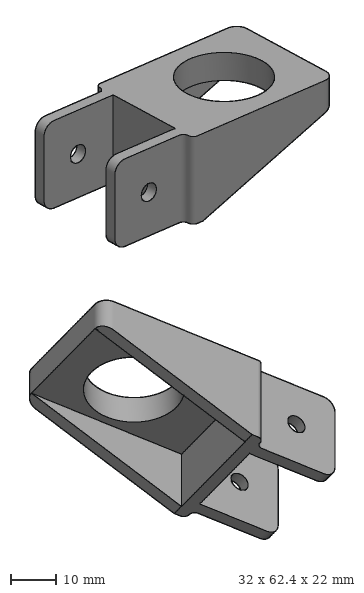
import cadquery as cq

width = 32.0
length = 62.4
height = 22.0

block_length = 42.0
plate_thickness = 7.05
taper_length = 39.0
rear_corner_radius = 3.0
bore_diameter = 22.2
bore_to_rear = 18.4

arm_inset = 2.9
arm_thickness = 2.95
arm_corner_radius = 3.0
pin_diameter = 4.4
pin_to_front = 10.05

wall_thickness = 2.95

blend_radius = arm_inset / 2

block_front = length - block_length
half_width = width / 2
arm_outer = half_width - arm_inset
arm_inner = arm_outer - arm_thickness


def make_plan():
    """Full-height body: block, S-shaped shoulders and two arms."""
    blend_middle = half_width - blend_radius
    blend_start = block_front - blend_radius
    blend_end = block_front + blend_radius
    plan = (
        cq.Workplane("XY")
        .moveTo(-arm_inner, 0)
        .lineTo(-arm_outer, 0)
        .lineTo(-arm_outer, blend_start)
        .radiusArc((-blend_middle, block_front), -blend_radius)
        .radiusArc((-half_width, blend_end), blend_radius)
        .lineTo(-half_width, length)
        .lineTo(half_width, length)
        .lineTo(half_width, blend_end)
        .radiusArc((blend_middle, block_front), blend_radius)
        .radiusArc((arm_outer, blend_start), -blend_radius)
        .lineTo(arm_outer, 0)
        .lineTo(arm_inner, 0)
        .lineTo(arm_inner, block_front)
        .lineTo(-arm_inner, block_front)
        .close()
        .extrude(height)
    )
    return plan.edges("|Z and >Y").fillet(rear_corner_radius)


def make_side_profile():
    """Side outline across the width: tapered rear and rounded arm ends."""
    profile = (
        cq.Workplane("YZ")
        .polyline([
            (0, 0),
            (length - taper_length, 0),
            (length, height - plate_thickness),
            (length, height),
            (0, height),
        ])
        .close()
        .extrude(half_width, both=True)
    )
    return profile.edges("|X and <Y").fillet(arm_corner_radius)


def make_pocket():
    """Space below the plate, leaving the side walls and the front wall."""
    pocket_front = block_front + wall_thickness
    return cq.Workplane("XY").box(
        width - 2 * wall_thickness,
        length - pocket_front,
        height - plate_thickness,
        centered=(True, False, False),
    ).translate((0, pocket_front, 0))


bore = (
    cq.Workplane("XY")
    .center(0, length - bore_to_rear)
    .circle(bore_diameter / 2)
    .extrude(height)
)

pin_hole = (
    cq.Workplane("YZ")
    .center(pin_to_front, height / 2)
    .circle(pin_diameter / 2)
    .extrude(half_width, both=True)
)

body = make_plan().intersect(make_side_profile())
result = body.cut(make_pocket()).cut(bore).cut(pin_hole)